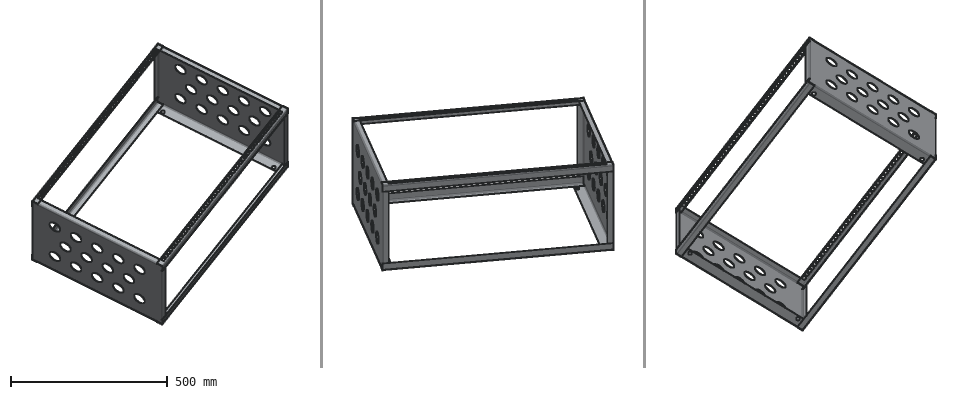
import cadquery as cq

WIDTH = 492.0
LENGTH = 752.5
HEIGHT = 305.0
SHEET = 1.6
BEND_RADIUS = 3.2
INNER_RADIUS = BEND_RADIUS - SHEET

RAIL_LENGTH = LENGTH - 2 * SHEET
RAIL_FLAT_LEG = 22.0
RAIL_UPRIGHT_LEG = 25.0

RACK_UNITS = 16
RACK_SPAN = 711.0
RACK_UNIT = RACK_SPAN / RACK_UNITS
HOLES_PER_UNIT = 3
HOLE_STEP = RACK_UNIT * 5 / 14
SQUARE_HOLE = 10.5
SQUARE_HOLE_EDGE = 8.0

TOP_LIP = 20.0
SIDE_LIP = 21.0
PANEL_FOOT = 37.0
EDGE_FLANGE_LENGTH = WIDTH - 2 * RAIL_FLAT_LEG
SIDE_FLANGE_LENGTH = HEIGHT - 2 * RAIL_UPRIGHT_LEG
PLATE_LAP = 2 * BEND_RADIUS

VENT_DIAMETER = 40.0
VENT_PITCH = 80.0
VENT_ROW_PITCH = 77.0
VENT_ROW_COUNTS = (5, 4, 5)

FOOT_HOLE_DIAMETER = 12.0
FOOT_HOLE_SPACING = 418.5
FOOT_HOLE_SETBACK = 27.0


def angle_strip(origin, direction, leg_a_dir, leg_a, leg_b, length):
    """Bent L strip centred on origin, which lies on its outer corner edge.

    Leg A points along leg_a_dir and leg B along direction x leg_a_dir.
    """
    plane = cq.Plane(origin=origin, xDir=leg_a_dir, normal=direction)
    return (
        cq.Workplane(plane)
        .moveTo(BEND_RADIUS, 0)
        .lineTo(leg_a, 0)
        .lineTo(leg_a, SHEET)
        .lineTo(BEND_RADIUS, SHEET)
        .radiusArc((SHEET, BEND_RADIUS), INNER_RADIUS)
        .lineTo(SHEET, leg_b)
        .lineTo(0, leg_b)
        .lineTo(0, BEND_RADIUS)
        .radiusArc((BEND_RADIUS, 0), -BEND_RADIUS)
        .close()
        .extrude(length / 2, both=True)
    )


def lower_rail():
    """Plain angle at the -X, -Z corner."""
    corner = (-WIDTH / 2, 0, -HEIGHT / 2)
    return angle_strip(corner, (0, -1, 0), (1, 0, 0), RAIL_FLAT_LEG, RAIL_UPRIGHT_LEG, RAIL_LENGTH)


def upper_rail():
    """Angle at the -X, +Z corner with its row of square holes."""
    hole_x = -WIDTH / 2 + SQUARE_HOLE_EDGE + SQUARE_HOLE / 2
    unit_centres = [(i - (RACK_UNITS - 1) / 2) * RACK_UNIT for i in range(RACK_UNITS)]
    offsets = [(i - (HOLES_PER_UNIT - 1) / 2) * HOLE_STEP for i in range(HOLES_PER_UNIT)]
    holes = (
        cq.Workplane("XY", origin=(0, 0, HEIGHT / 2 - SHEET))
        .pushPoints([(hole_x, centre + offset) for centre in unit_centres for offset in offsets])
        .rect(SQUARE_HOLE, SQUARE_HOLE)
        .extrude(SHEET)
    )
    return lower_rail().mirror("XY").cut(holes)


def panel_inner_face():
    """Workplane on the inner face of the -Y plate, facing outward."""
    plane = cq.Plane(origin=(0, -LENGTH / 2 + SHEET, 0), xDir=(1, 0, 0), normal=(0, -1, 0))
    return cq.Workplane(plane)


def panel_plate():
    """Flat plate at the -Y end; its edges are cut back between the corner tabs for the bends."""
    plate = panel_inner_face().rect(WIDTH, HEIGHT).extrude(SHEET)
    edge_strips = (
        panel_inner_face()
        .rarray(7.5, HEIGHT - BEND_RADIUS, 1, 2)
        .rect(EDGE_FLANGE_LENGTH, BEND_RADIUS)
        .extrude(SHEET)
    )
    side_strips = (
        panel_inner_face()
        .rarray(WIDTH - BEND_RADIUS, 7.5, 2, 1)
        .rect(BEND_RADIUS, SIDE_FLANGE_LENGTH)
        .extrude(SHEET)
    )
    return plate.cut(edge_strips).cut(side_strips)


def vent_holes():
    """Staggered rows of round cutters through the plate."""
    centres = []
    for row, count in enumerate(VENT_ROW_COUNTS):
        z = (row - (len(VENT_ROW_COUNTS) - 1) / 2) * VENT_ROW_PITCH
        centres += [((i - (count - 1) / 2) * VENT_PITCH, z) for i in range(count)]
    return panel_inner_face().pushPoints(centres).circle(VENT_DIAMETER / 2).extrude(SHEET)


def end_panel():
    """Panel at the -Y end with its four flanges, vent holes and foot holes."""
    y_face = -LENGTH / 2
    bottom = (0, y_face, -HEIGHT / 2)
    top = (0, y_face, HEIGHT / 2)
    side = (-WIDTH / 2, y_face, 0)
    left_flange = angle_strip(side, (0, 0, 1), (1, 0, 0), PLATE_LAP, SIDE_LIP, SIDE_FLANGE_LENGTH)
    foot_holes = (
        cq.Workplane("XY", origin=(0, y_face + FOOT_HOLE_SETBACK, -HEIGHT / 2))
        .rarray(FOOT_HOLE_SPACING, 7.5, 2, 1)
        .circle(FOOT_HOLE_DIAMETER / 2)
        .extrude(SHEET)
    )
    return (
        panel_plate()
        .union(angle_strip(bottom, (1, 0, 0), (0, 1, 0), PANEL_FOOT, PLATE_LAP, EDGE_FLANGE_LENGTH))
        .union(angle_strip(top, (-1, 0, 0), (0, 1, 0), TOP_LIP, PLATE_LAP, EDGE_FLANGE_LENGTH))
        .union(left_flange)
        .union(left_flange.mirror("YZ"))
        .cut(vent_holes())
        .cut(foot_holes)
    )


rails = []
for rail in (lower_rail(), upper_rail()):
    rails += [rail.val(), rail.mirror("YZ").val()]

front_panel = end_panel()
panels = [front_panel.val(), front_panel.mirror("XZ").val()]

result = cq.Compound.makeCompound([*rails, *panels])